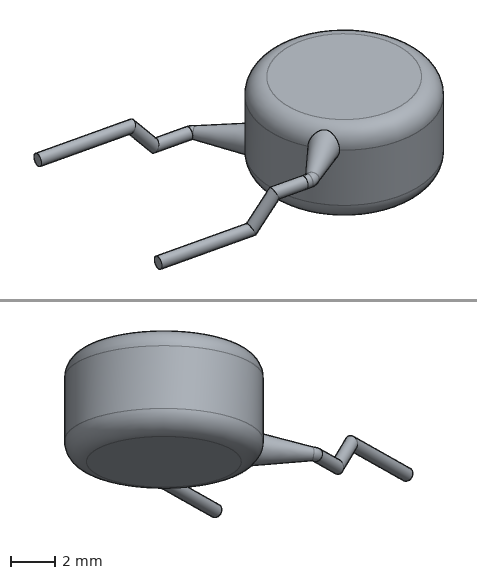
import cadquery as cq
import math

DISC_DIAMETER = 9.0
DISC_HEIGHT = 5.0
DISC_EDGE_RADIUS = 1.0

LEAD_PITCH = 10.0
WIRE_DIAMETER = 0.64
LEAD_TIP_Y = -13.3
LEAD_BEND_Y = -7.01
LEAD_LEVEL_Y = -8.28

STEM_ANGLE = 45.0
STEM_TAPER = 9.4
STEM_ROOT_DISTANCE = 3.56
RIGHT_STUB_LENGTH = 0.27

disc_radius = DISC_DIAMETER / 2
wire_radius = WIRE_DIAMETER / 2
stem_height = DISC_HEIGHT / 2 - DISC_EDGE_RADIUS
lead_x = LEAD_PITCH / 2

stem_sin = math.sin(math.radians(STEM_ANGLE))
stem_cos = math.cos(math.radians(STEM_ANGLE))
elbow_pivot_x = lead_x - wire_radius
stem_end_x = elbow_pivot_x + wire_radius * stem_cos
stem_end_distance = stem_end_x / stem_sin
stem_end_y = -stem_end_distance * stem_cos
elbow_end_y = stem_end_y - wire_radius * stem_sin
stem_cone_length = stem_end_distance - STEM_ROOT_DISTANCE
stem_root_radius = wire_radius + stem_cone_length * math.tan(math.radians(STEM_TAPER))


def make_disc():
    """Round disc with both rims rounded."""
    disc = cq.Workplane("XY", origin=(0, 0, -DISC_HEIGHT / 2)).circle(disc_radius).extrude(DISC_HEIGHT)
    return disc.edges("%CIRCLE").fillet(DISC_EDGE_RADIUS)


def wire_section(y):
    """Wire circle facing -Y at the level of the upper right stem."""
    return cq.Workplane("XZ", origin=(lead_x, y, stem_height)).circle(wire_radius)


def make_stem(disc, stub_length):
    """Tapered stem at the upper right, which leaves the disc at an angle and turns to -Y."""
    stem_direction = cq.Vector(stem_sin, -stem_cos, 0)
    cone_root = stem_direction * STEM_ROOT_DISTANCE + cq.Vector(0, 0, stem_height)
    cone = cq.Solid.makeCone(stem_root_radius, wire_radius, stem_cone_length, cone_root, stem_direction)

    pivot_offset = -wire_radius
    elbow = wire_section(elbow_end_y).revolve(STEM_ANGLE, (pivot_offset, 0, 0), (pivot_offset, 1, 0))

    stem = cq.Workplane(cone).cut(disc).union(elbow)
    if stub_length > 0:
        stem = stem.union(wire_section(elbow_end_y).extrude(stub_length))
    return stem


def make_lead(stub_length):
    """Round wire at the upper right that steps down to mid-height and runs straight to its tip."""
    start_y = elbow_end_y - stub_length
    path = cq.Workplane("YZ", origin=(lead_x, 0, 0)).polyline(
        [(start_y, stem_height), (LEAD_BEND_Y, stem_height), (LEAD_LEVEL_Y, 0), (LEAD_TIP_Y, 0)]
    )
    return wire_section(start_y).sweep(path, transition="right")


disc = make_disc()

stems = []
leads = []
for turn, stub_length in ((0, RIGHT_STUB_LENGTH), (180, 0)):
    stems.append(make_stem(disc, stub_length).rotate((0, 0, 0), (0, 1, 0), turn))
    leads.append(make_lead(stub_length).rotate((0, 0, 0), (0, 1, 0), turn))

bodies = [disc, *stems, *leads]
result = cq.Compound.makeCompound([body.solids().val() for body in bodies])